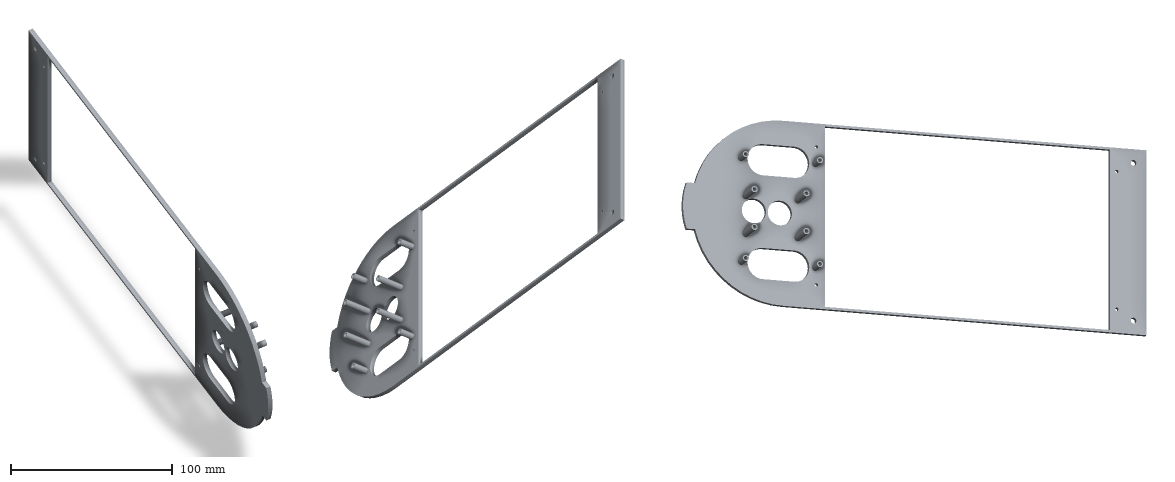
import cadquery as cq

length = 301.3
height = 118.0
thickness = 3.0
end_radius = height / 2
end_center_x = 236.2

tab_height = 29.5
tab_tip_radius = 45.2

window_left = 23.8
window_right = 209.0
window_margin = 1.5

mount_hole_diameter = 3.5
mount_hole_x = 8.5
mount_hole_z = 50.3
small_hole_diameter = 2.0
small_hole_xs = (19.3, 214.5)
small_hole_z = 44.0

slot_length = 40.0
slot_width = 20.0
slot_center_x = 239.2
slot_z = 33.0
round_opening_diameter = 15.7
round_opening_xs = (238.3, 255.2)

pin_diameter = 4.0
short_pin_length = 10.0
short_pin_xs = (215.5, 263.5)
tall_pin_length = 18.0
tall_pin_xs = (227.0, 260.5)
tall_pin_zs = (-15.0, 9.0)

bore_diameter = 2.5
bore_depth = 4.5
bore_tip_diameter = 2.0
bore_tip_depth = 6.3


def xz_workplane(y):
    """XZ plane at the given Y, with local axes X and Z. Negative extrusions run toward +Y."""
    return cq.Workplane("XZ", origin=(0, y, 0))


def grid(xs, zs):
    return [(x, z) for x in xs for z in zs]


def mirrored(z):
    return (-z, z)


def make_panel():
    body = (
        xz_workplane(0)
        .moveTo(0, -height / 2)
        .lineTo(end_center_x, -height / 2)
        .threePointArc((end_center_x + end_radius, 0), (end_center_x, height / 2))
        .lineTo(0, height / 2)
        .close()
        .extrude(-thickness)
    )
    tab_disc = xz_workplane(0).center(length - tab_tip_radius, 0).circle(tab_tip_radius).extrude(-thickness)
    tab_band = (
        xz_workplane(0)
        .center(end_center_x, 0)
        .rect(length - end_center_x, tab_height, centered=(False, True))
        .extrude(-thickness)
    )
    return body.union(tab_disc.intersect(tab_band))


def make_window():
    return (
        xz_workplane(0)
        .center((window_left + window_right) / 2, 0)
        .rect(window_right - window_left, height - 2 * window_margin)
        .extrude(-thickness)
    )


def make_round_cuts(points, diameter):
    return xz_workplane(0).pushPoints(points).circle(diameter / 2).extrude(-thickness)


def make_slots():
    points = grid((slot_center_x,), mirrored(slot_z))
    return xz_workplane(0).pushPoints(points).slot2D(slot_length, slot_width).extrude(-thickness)


def make_pins(points, pin_length):
    tip_y = thickness + pin_length
    pins = xz_workplane(thickness).pushPoints(points).circle(pin_diameter / 2).extrude(-pin_length)
    for diameter, depth in ((bore_diameter, bore_depth), (bore_tip_diameter, bore_tip_depth)):
        bore = xz_workplane(tip_y).pushPoints(points).circle(diameter / 2).extrude(depth)
        pins = pins.cut(bore)
    return pins


result = (
    make_panel()
    .cut(make_window())
    .cut(make_slots())
    .cut(make_round_cuts(grid((mount_hole_x,), mirrored(mount_hole_z)), mount_hole_diameter))
    .cut(make_round_cuts(grid(small_hole_xs, mirrored(small_hole_z)), small_hole_diameter))
    .cut(make_round_cuts(grid(round_opening_xs, (0,)), round_opening_diameter))
    .union(make_pins(grid(short_pin_xs, mirrored(slot_z)), short_pin_length))
    .union(make_pins(grid(tall_pin_xs, tall_pin_zs), tall_pin_length))
)